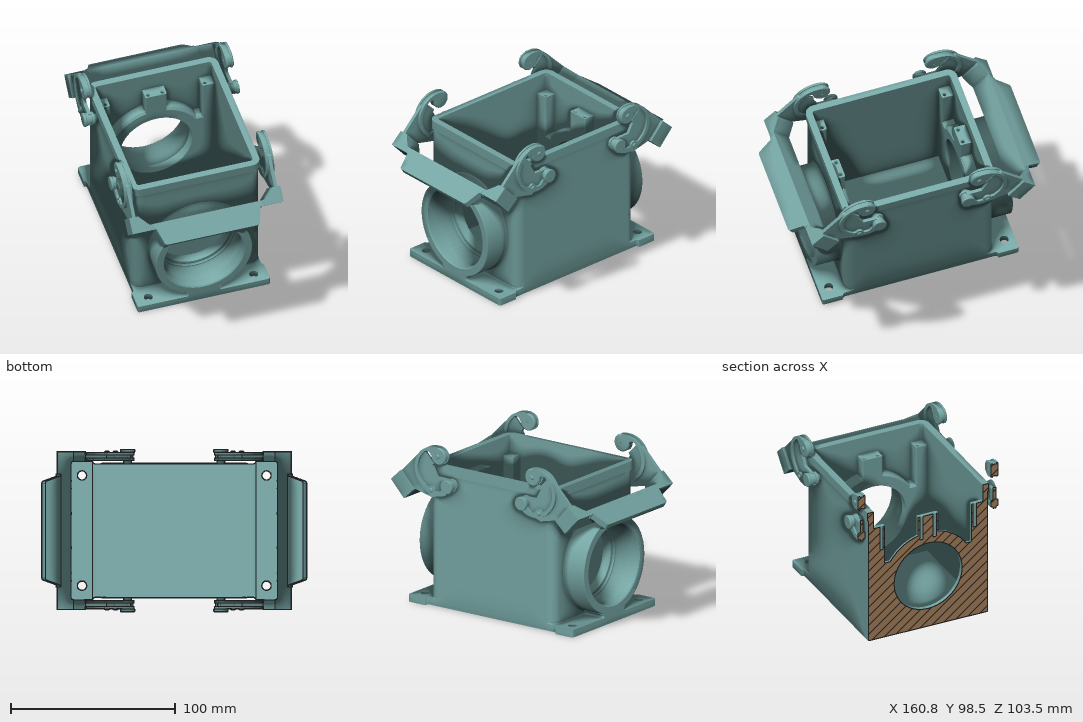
import cadquery as cq
import math

bevel_angle = 45.0

body_length = 94.5
body_width = 80.8
rim_length = 96.1
rim_width = 82.0
rim_bottom = 84.7
rim_top = 90.3
corner_radius = 5.8
cavity_length = 87.7
cavity_width = 73.6
cavity_radius = 1.6
floor_thickness = 4.0
body_bottom = 0.5

flange_end = 62.5
flange_inner = 49.5
flange_width = 83.9
flange_height = 4.7
flange_corner = 1.3
corner_bow = 0.7
skirt_bevel = 0.6
mount_hole_x = 56.0
mount_hole_y = 33.5
mount_hole_radius = 2.7

entry_height = 36.0
entry_radius = 30.5
entry_root_flare = 0.8
entry_edge_fillet = 0.5
mouth_radius = 25.2
mouth_chamfer = 0.6
mouth_depth = 18.2
shoulder_radius = 24.6
shoulder_depth = 1.8
bore_radius = 22.8
web_half_width = 11.0
web_top = 7.4
web_groove_radius = 1.1

pad_depth = 7.2
pad_chamfer = 1.3
pad_shelf_height = 52.5
post_top = 78.6
corner_post_width = 7.5
middle_post_width = 13.7
post_edge_fillet = 1.0
screw_inset = 38.9
screw_outer_y = 31.5
screw_inner_y = 4.5
screw_radius = 1.0
screw_chamfer = 0.5
screw_depth = 16.0

plate_inner_y = 43.9
plate_outer_y = 46.0
hook_inner_y = 42.5
hook_outer_y = 47.4
overall_width = 98.5
pin_x = -28.3
pin_z = 80.4
pin_stem_radius = 2.4
pin_head_radius = 4.3
pin_head_fillet = 0.5
lobe_radius = 4.0
overall_height = 103.5
eye_x = -35.7
eye_radius = 5.5
eye_chamfer = 0.6
hook_groove_depth = 0.6
eye_z = overall_height - eye_radius
band_x = -39.4
band_radius = 14.0
band_z = overall_height - band_radius
band_width = 2.2
rivet_x = -40.8
rivet_z = 76.0
rivet_radius = 1.5
rivet_chamfer = 0.5
rivet_dimple_radius = 0.8
rivet_dimple_depth = 0.3
rivet_boss_radius = 2.7
rivet_outer_y = 48.2

grip_x = -63.8
grip_z = 84.5
grip_tilt = 47.0
grip_length = 14.5
grip_depth = 10.0
grip_inner_y = 42.5
grip_outer_y = 47.9
bar_thickness = 3.5
paddle_thickness = 3.9
bar_half_width = 36.3
paddle_tilt = 34.4
paddle_root_half = 34.2
paddle_base_half = 33.0
paddle_tip_half = 29.7
paddle_root_length = 3.7
paddle_corner = 1.6
overall_half_length = 80.4

notch_points = [(-40.3, 92.4), (-41.3, 91.0), (-37.8, 84.5)]
plate_tail = (-26.4, 76.8)
plate_bottom = (-41.0, 70.9)

band_bottom = (-39.2, 73.0)
band_tail = (-26.8, 76.7)
band_inner_edge = [(-32.0, 78.9), (-34.7, 75.9), (-38.5, 75.9), (-42.9, 77.6), (-44.7, 77.8)]
hook_throat = (-43.5, 100.3)

plate_tangent_angle = 142
throat_angle = 128
band_middle_angle = 180
band_end_angle = 228
band_end_bulge = 0.6


def block(x_range, y_range, z_range):
    """Axis-aligned box given by its limits."""
    size = [high - low for low, high in (x_range, y_range, z_range)]
    corner = (x_range[0], y_range[0], z_range[0])
    return cq.Workplane("XY").box(*size, centered=False).translate(corner)


def rounded_block(length, width, radius, z_low, z_high):
    """Box centred on the Z axis with rounded upright edges."""
    base = cq.Workplane("XY").workplane(offset=z_low).rect(length, width)
    return base.extrude(z_high - z_low).edges("|Z").fillet(radius)


def entry_cylinder(radius, x_low, x_high, taper=0):
    """Cylinder on the cable entry axis, or a cone that narrows towards +X."""
    plane = cq.Workplane("YZ", origin=(x_low, 0, entry_height))
    return plane.circle(radius).extrude(x_high - x_low, taper=taper)


def side_cylinder(x, z, radius, y_low, y_high):
    """Cylinder parallel to Y."""
    plane = cq.Workplane("XZ", origin=(x, y_low, z))
    return plane.circle(radius).extrude(-(y_high - y_low))


def side_slab(outline, y_low, y_high):
    """Extrude a closed XZ outline between two Y positions."""
    return outline.extrude(-(y_high - y_low)).translate((0, y_low, 0))


def both_ends(shape):
    return shape.union(shape.mirror("YZ"))


def both_sides(shape):
    return shape.union(shape.mirror("XZ"))


def make_shell():
    body = rounded_block(body_length, body_width, corner_radius, body_bottom, rim_bottom)
    rim = rounded_block(rim_length, rim_width, corner_radius, rim_bottom, rim_top)
    half_base = (flange_end + flange_inner) / 2
    half_width = body_width / 2
    base = block((-half_base, half_base), (-half_width, half_width), (body_bottom, flange_height))

    spread = 2 * skirt_bevel
    skirt = (
        cq.Workplane("XY")
        .workplane(offset=flange_height)
        .sketch()
        .rect(body_length + spread, body_width + spread)
        .vertices()
        .fillet(corner_radius + skirt_bevel)
        .finalize()
        .extrude(skirt_bevel, taper=bevel_angle)
    )
    skirt_top = flange_height + skirt_bevel
    skirt = skirt.intersect(
        block((-flange_end, flange_end), (-half_width, half_width), (flange_height, skirt_top)))
    return body.union(rim).union(base).union(skirt)


def make_flange():
    half_width = flange_width / 2
    flange = block((-flange_end, -flange_inner), (-half_width, half_width), (0, flange_height))
    flange = flange.edges("|Z and <X").fillet(flange_corner)

    wall_x = -body_length / 2
    wall_y = body_width / 2
    middle_x = wall_x - corner_bow * (flange_inner + wall_x)
    middle_y = wall_y + (1 - corner_bow) * (half_width - wall_y)
    corner = (
        cq.Workplane("XY")
        .workplane(offset=body_bottom)
        .moveTo(wall_x, wall_y)
        .threePointArc((middle_x, middle_y), (-flange_inner, half_width))
        .lineTo(-flange_inner - flange_corner, half_width)
        .lineTo(-flange_inner - flange_corner, wall_y - flange_corner)
        .lineTo(wall_x, wall_y - flange_corner)
        .close()
        .extrude(flange_height - body_bottom)
    )
    return flange.union(both_sides(corner))


def make_web():
    """Neck between the entry boss and the flange, grooved along both sides."""
    wall_x = -cavity_length / 2
    web = block((-flange_end, wall_x), (-web_half_width, web_half_width), (body_bottom, web_top))
    groove_z = flange_height + web_groove_radius
    groove = cq.Workplane("YZ", origin=(-flange_end, web_half_width, groove_z))
    groove = groove.circle(web_groove_radius).extrude(flange_end - body_length / 2)
    return web.cut(both_sides(groove))


def make_entry():
    """Boss with a small flare where it meets the end wall."""
    wall_x = -body_length / 2
    boss = entry_cylinder(entry_radius, -flange_end, -cavity_length / 2)
    boss = boss.faces("<X").edges().fillet(entry_edge_fillet)
    flare_start = wall_x - entry_root_flare
    flare = entry_cylinder(entry_radius, flare_start, wall_x, -bevel_angle)
    return boss.union(flare)


def make_pad():
    """Thick pad around the bore, with an arched top between flat shelves."""
    wall_x = -cavity_length / 2
    face_x = wall_x + pad_depth
    half_width = cavity_width / 2
    pad = block((wall_x, face_x), (-half_width, half_width), (body_bottom, pad_shelf_height))
    pad = pad.union(entry_cylinder(entry_radius, wall_x, face_x).intersect(
        block((wall_x, face_x), (-half_width, half_width), (entry_height, rim_bottom))))
    margin = pad_chamfer / 4
    upper_face_edges = cq.selectors.BoxSelector(
        (face_x - margin, -half_width, pad_shelf_height - margin),
        (face_x + margin, half_width, rim_top))
    pad = pad.edges(upper_face_edges).chamfer(pad_chamfer)

    middle_half = middle_post_width / 2
    middle = block((wall_x, face_x), (-middle_half, middle_half), (entry_height, post_top))
    middle = middle.edges("|Z and >X").fillet(post_edge_fillet)
    corner_low = half_width - corner_post_width
    corner = block((wall_x, face_x), (corner_low, half_width), (body_bottom, post_top))
    corner = corner.edges("|Z and >X and <Y").fillet(post_edge_fillet)
    return pad.union(middle).union(both_sides(corner))


def make_bore_cut():
    mouth_end = -flange_end + mouth_depth
    shoulder_end = mouth_end + shoulder_depth
    mouth = entry_cylinder(mouth_radius, -flange_end, mouth_end)
    lip_end = -flange_end + mouth_chamfer
    lip = entry_cylinder(mouth_radius + mouth_chamfer, -flange_end, lip_end, bevel_angle)
    shoulder = entry_cylinder(shoulder_radius, mouth_end, shoulder_end)
    bore = entry_cylinder(bore_radius, shoulder_end, -cavity_length / 2 + pad_depth)
    return mouth.union(lip).union(shoulder).union(bore)


def make_screw_holes():
    places = [
        (end * screw_inset, side * y)
        for end in (-1, 1) for side in (-1, 1) for y in (screw_inner_y, screw_outer_y)
    ]
    top = cq.Workplane("XY").workplane(offset=post_top)
    holes = top.pushPoints(places).circle(screw_radius).extrude(-screw_depth)
    lead_in = cq.Workplane("XY").workplane(offset=post_top - screw_chamfer).pushPoints(places)
    return holes.union(lead_in.circle(screw_radius).extrude(screw_chamfer, taper=-bevel_angle))


def make_mount_holes():
    base = cq.Workplane("XY").rect(2 * mount_hole_x, 2 * mount_hole_y, forConstruction=True)
    return base.vertices().circle(mount_hole_radius).extrude(flange_height)


def band_point(angle, radius):
    turn = math.radians(angle)
    return (band_x + radius * math.cos(turn), band_z + radius * math.sin(turn))


def make_plate():
    """Flat sheet joining the grip, the hook and the pivot pin."""
    tilt = math.radians(grip_tilt)
    grip_end = (grip_x + grip_length * math.cos(tilt), grip_z - grip_length * math.sin(tilt))
    outline = [
        (grip_x, grip_z),
        band_point(plate_tangent_angle, band_radius),
        band_point(throat_angle, band_radius - band_width),
        *notch_points,
        (pin_x, pin_z + lobe_radius),
        plate_tail,
        plate_bottom,
        grip_end,
    ]
    plate = cq.Workplane("XZ").polyline(outline).close()
    return side_slab(plate, plate_inner_y, plate_outer_y)


def hook_layer(inset, y_low, y_high):
    """One layer of the hook band, with its rounded rim drawn in by an inset."""
    outer_radius = band_radius - inset
    inner_radius = band_radius - band_width
    outline = (
        cq.Workplane("XZ")
        .moveTo(eye_x, overall_height - inset)
        .lineTo(band_x, overall_height - inset)
        .threePointArc(
            band_point(band_middle_angle, outer_radius),
            band_point(band_end_angle, outer_radius + band_end_bulge))
        .threePointArc(band_bottom, (band_tail[0], band_tail[1] + inset))
        .polyline(band_inner_edge, includeCurrent=True)
        .lineTo(*band_point(band_end_angle, inner_radius + band_end_bulge))
        .threePointArc(
            band_point(band_middle_angle, inner_radius),
            band_point(throat_angle, inner_radius))
        .threePointArc(hook_throat, (eye_x - eye_radius + inset, eye_z))
        .close()
    )
    layer = side_slab(outline, y_low, y_high)
    pivot = side_cylinder(pin_x, pin_z, lobe_radius - inset, y_low, y_high)
    rivet_boss = side_cylinder(rivet_x, rivet_z, rivet_boss_radius, y_low, y_high)
    return layer.union(pivot).union(rivet_boss)


def make_hook():
    """Raised band from the hooked eye round to the pivot pin, grooved along its rim."""
    hook = hook_layer(0, hook_inner_y, plate_inner_y)
    hook = hook.union(hook_layer(hook_groove_depth, plate_inner_y, plate_outer_y))
    hook = hook.union(hook_layer(0, plate_outer_y, hook_outer_y))

    eye = side_cylinder(eye_x, eye_z, eye_radius, hook_inner_y, hook_outer_y).edges().chamfer(eye_chamfer)
    eye_core = side_cylinder(eye_x, eye_z, eye_radius - hook_groove_depth, plate_inner_y, plate_outer_y)
    gap = side_cylinder(eye_x, eye_z, eye_radius, plate_inner_y, plate_outer_y)
    hook = hook.union(eye.cut(gap).union(eye_core))

    for x, z in ((eye_x, eye_z), (rivet_x, rivet_z)):
        rivet = side_cylinder(x, z, rivet_radius, hook_inner_y, rivet_outer_y)
        dimple = side_cylinder(
            x, z, rivet_dimple_radius, hook_inner_y, hook_inner_y + rivet_dimple_depth)
        hook = hook.union(rivet.faces(">Y").chamfer(rivet_chamfer)).cut(dimple)
    return hook


def make_pin():
    wall_middle_y = (cavity_width + body_width) / 4
    stem = side_cylinder(pin_x, pin_z, pin_stem_radius, wall_middle_y, hook_outer_y)
    head = side_cylinder(pin_x, pin_z, pin_head_radius, hook_outer_y, overall_width / 2)
    return stem.union(head.edges().fillet(pin_head_fillet))


def make_grip():
    """Cross bar that thickens into a square block at each side plate."""
    tilt = math.radians(grip_tilt)
    along = (math.cos(tilt), 0, -math.sin(tilt))
    plane = cq.Plane(origin=(grip_x, 0, grip_z), xDir=(0, 1, 0), normal=along)
    bar_top = -(grip_depth - bar_thickness)
    outline = [
        (grip_outer_y, -grip_depth),
        (grip_outer_y, 0),
        (grip_inner_y, 0),
        (bar_half_width, bar_top),
    ]
    mirrored = [(-y, v) for y, v in reversed(outline)]
    return cq.Workplane(plane).polyline(outline + mirrored).close().extrude(grip_length)


def make_paddle():
    """Finger tab sloping outwards from the upper edge of the cross bar."""
    tilt = math.radians(grip_tilt)
    bar_offset = grip_depth - bar_thickness
    ridge_x = grip_x - bar_offset * math.sin(tilt)
    ridge_z = grip_z - bar_offset * math.cos(tilt)
    slope = math.radians(paddle_tilt)
    length = (overall_half_length + ridge_x) / math.cos(slope)
    plane = cq.Plane(
        origin=(ridge_x, 0, ridge_z),
        xDir=(-math.cos(slope), 0, -math.sin(slope)),
        normal=(-math.sin(slope), 0, math.cos(slope)),
    )
    outline = [
        (0, paddle_root_half),
        (paddle_root_length, paddle_root_half),
        (paddle_root_length, paddle_base_half),
        (length, paddle_tip_half),
    ]
    mirrored = [(s, -y) for s, y in reversed(outline)]
    paddle = cq.Workplane(plane).polyline(outline + mirrored).close().extrude(-paddle_thickness)
    tip_corners = paddle.faces("<X").edges("not |Y")
    return tip_corners.fillet(paddle_corner)


def make_lever():
    side = make_plate().union(make_hook()).union(make_pin())
    return both_sides(side).union(make_grip()).union(make_paddle())


housing = make_shell()
housing = housing.union(both_ends(make_flange().union(make_web()).union(make_entry())))
housing = housing.cut(
    rounded_block(cavity_length, cavity_width, cavity_radius, body_bottom + floor_thickness, rim_top))
housing = housing.union(both_ends(make_pad()))
housing = housing.cut(both_ends(make_bore_cut()))
housing = housing.cut(make_screw_holes()).cut(make_mount_holes())

result = housing.union(both_ends(make_lever()))